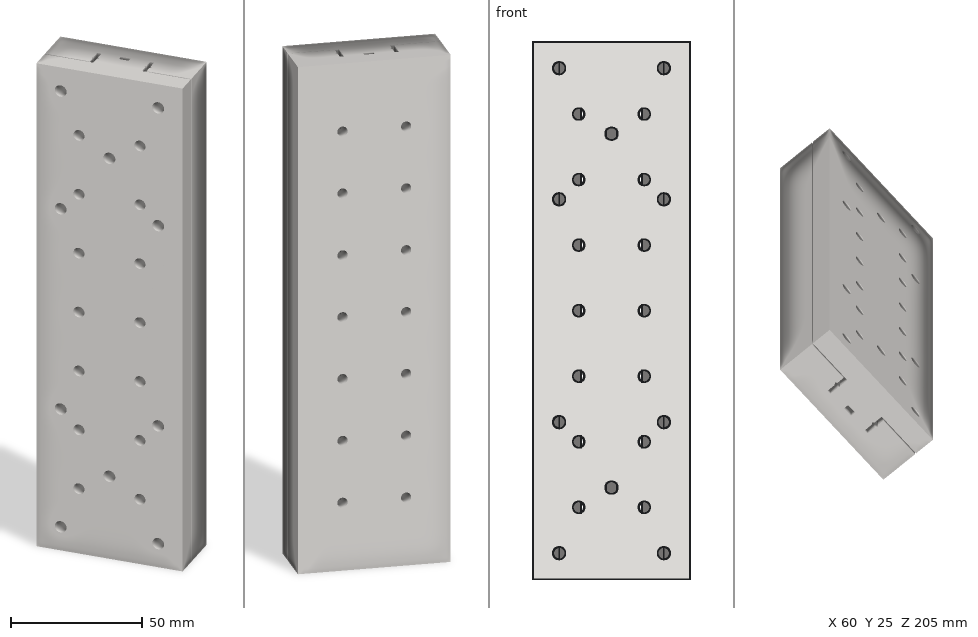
import cadquery as cq

table_width = 60.0
table_length = 205.0
table_height = 25.0

rail_seat_y = 9.0
channel_roof_y = 17.0
base_shoulder_y = 8.5
rib_top_y = 15.0

channel_half_width = 20.0
rib_half_width = 2.0
inner_rail_width = 8.0
outer_rail_width = 8.4
rail_groove_depth = 0.7
rail_groove_y = 12.75

screw_diameter = 4.8
screw_x = channel_half_width
screw_rows_z = (42.5, 92.5)
rail_hole_diameter = 4.5
rail_hole_x = 12.5
rail_hole_pitch = 25.0
rail_hole_rows = 7
mount_hole_diameter = 4.8
mount_hole_z = 67.5
mount_hole_depth = rail_seat_y

carriage_rail_hole_diameter = 4.0
carriage_screw_diameter = 4.5
carriage_screw_end_y = 15.0

inner_rail_face_x = rib_half_width + inner_rail_width
outer_rail_face_x = channel_half_width - outer_rail_width

sides = (-1, 1)
screw_centres = [(x * screw_x, z * row) for x in sides for z in sides for row in screw_rows_z]
first_row_z = -rail_hole_pitch * (rail_hole_rows - 1) / 2
rail_hole_centres = [
    (x * rail_hole_x, first_row_z + row * rail_hole_pitch)
    for x in sides
    for row in range(rail_hole_rows)
]
mount_hole_centres = [(0, z * mount_hole_z) for z in sides]


def extrude_profile(points):
    """Extrude a closed XY profile over the full length, centred on Z = 0."""
    return cq.Workplane("XY").polyline(points).close().extrude(table_length / 2, both=True)


def drill_from_front(body, diameter, depth, centres):
    """Cut round holes running along +Y from the front face at (x, z) centres."""
    drills = (
        cq.Workplane("XZ")
        .pushPoints(centres)
        .circle(diameter / 2)
        .extrude(-depth)
    )
    return body.cut(drills)


def make_carriage():
    """Upper plate with the wide channel that houses the rails."""
    half_width = table_width / 2
    plate = extrude_profile([
        (-half_width, table_height),
        (half_width, table_height),
        (half_width, rail_seat_y),
        (channel_half_width, rail_seat_y),
        (channel_half_width, channel_roof_y),
        (-channel_half_width, channel_roof_y),
        (-channel_half_width, rail_seat_y),
        (-half_width, rail_seat_y),
    ])
    plate = drill_from_front(plate, carriage_screw_diameter, carriage_screw_end_y, screw_centres)
    return drill_from_front(plate, carriage_rail_hole_diameter, table_height, rail_hole_centres)


def make_base():
    """Lower plate with a raised seat and a central rib between the inner rails."""
    half_width = table_width / 2
    base = extrude_profile([
        (-half_width, 0),
        (half_width, 0),
        (half_width, base_shoulder_y),
        (inner_rail_face_x, base_shoulder_y),
        (inner_rail_face_x, rail_seat_y),
        (rib_half_width, rail_seat_y),
        (rib_half_width, rib_top_y),
        (-rib_half_width, rib_top_y),
        (-rib_half_width, rail_seat_y),
        (-inner_rail_face_x, rail_seat_y),
        (-inner_rail_face_x, base_shoulder_y),
        (-half_width, base_shoulder_y),
    ])
    base = drill_from_front(base, screw_diameter, rail_seat_y, screw_centres)
    base = drill_from_front(base, rail_hole_diameter, rail_seat_y, rail_hole_centres)
    return drill_from_front(base, mount_hole_diameter, mount_hole_depth, mount_hole_centres)


def make_rail(back_x, face_x):
    """Square rail from its back face to its grooved running face."""
    toward_back = 1 if back_x > face_x else -1
    return extrude_profile([
        (back_x, rail_seat_y),
        (face_x, rail_seat_y),
        (face_x, rail_groove_y - rail_groove_depth),
        (face_x + toward_back * rail_groove_depth, rail_groove_y),
        (face_x, rail_groove_y + rail_groove_depth),
        (face_x, channel_roof_y),
        (back_x, channel_roof_y),
    ])


carriage = make_carriage()
base = make_base()
inner_rails = [make_rail(side * rib_half_width, side * inner_rail_face_x) for side in sides]
outer_rails = [make_rail(side * channel_half_width, side * outer_rail_face_x) for side in sides]

bodies = [carriage, base, *inner_rails, *outer_rails]
result = cq.Compound.makeCompound([body.val() for body in bodies])